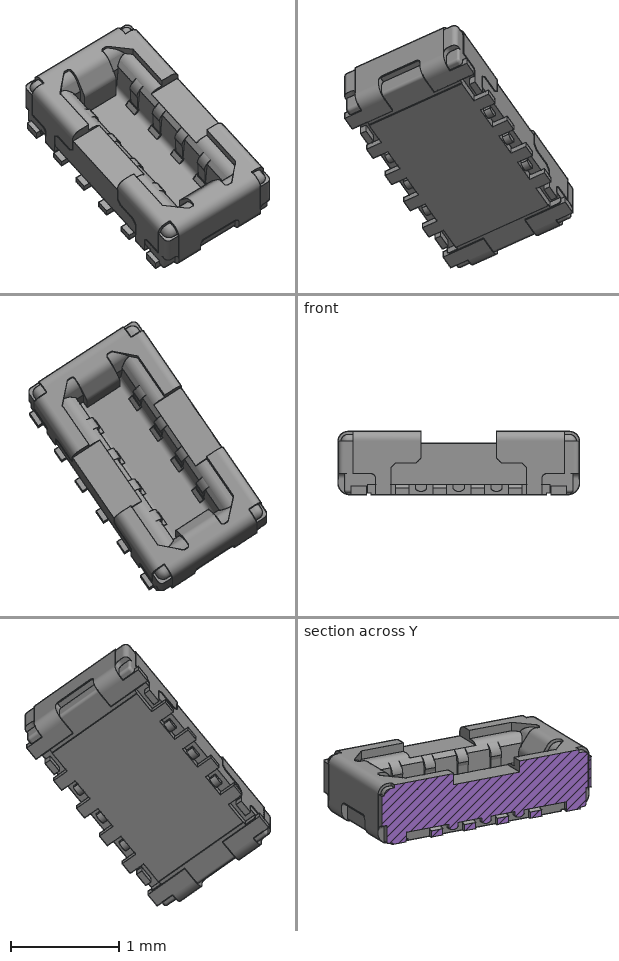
import cadquery as cq
import math

LENGTH = 2.24
HEIGHT = 0.59
SHELL_WIDTH = 1.219
FEET_SPAN = 1.3
OVERLAP = 0.022

SHELL_TOP_RADIUS = 0.09
END_TOP_RADIUS = 0.099
END_BOTTOM_RADIUS = 0.115
SHELL_THICKNESS = 0.06
LONG_WALL_LENGTH = 1.962
END_WALL_WIDTH = 0.94
SHELL_INNER_TOP = 0.506
CENTRE_GAP = 0.7
CENTRE_TOP = 0.48
RETURN_END = 0.853

LEG_INNER = 0.63
LEG_OUTER = 0.77
WALL_LOWER_EDGE = 0.295
CORNER_STEP = 0.197
LEG_CORNER = 0.045

NOTCH_WIDTH = 0.44
NOTCH_TOP = 0.208
NOTCH_RADIUS = 0.05

HOUSING_LENGTH = 2.227
HOUSING_WIDTH = 1.205
HOUSING_CORNER_RADIUS = 0.047
LOWER_LENGTH = LENGTH - 2 * SHELL_THICKNESS
LOWER_CORNER_RADIUS = 0.022
STANDOFF = 0.015
LOWER_EDGE_RADIUS = 0.03
POST_TOP = 0.497
POST_FILLET = 0.05
DOME_INSET = 0.03
DOME_RADIUS = 0.067
UNDERCUT_TOP = 0.095
UNDERCUT_HALF_LENGTH = 0.847
BASE_LENGTH = 1.626
BASE_WIDTH = 0.985
STUD_DISC_RADIUS = 0.063
STUD_HALF_WIDTH = 0.052
STUD_LENGTH = 0.067
STUD_FLAT = 0.03

FLOOR_Z = 0.128
FLOOR_HALF_WIDTH = 0.184
CAVITY_HALF_LENGTH = 0.802
LEAD_IN_END = 0.939
LEAD_IN_TOP = 0.562
FLOOR_FILLET_MIDDLE = (0.217, 0.14)
SIDE_WALL_FOOT = (0.237, 0.168)
SIDE_WALL_TOP = (0.255, 0.437)
SIDE_SLOPE_TOP = (0.3, CENTRE_TOP)
SIDE_ROLL_MIDDLE = (0.33, 0.497)
SIDE_ROLL_TOP = (0.37, SHELL_INNER_TOP)
END_WALL_TOP = (CAVITY_HALF_LENGTH, 0.415)
END_SLOPE_TOP = (0.86, 0.517)
END_ROLL_MIDDLE = (0.894, 0.549)
END_ROLL_TOP = (LEAD_IN_END, LEAD_IN_TOP)
OPENING_HALF_WIDTH = 0.42
OPENING_HALF_LENGTH = 0.97
OPENING_FLAT_HALF = 0.797
OPENING_END_HALF = 0.246
OPENING_CORNER_RADIUS = 0.022
TONGUE_WIDTH = 0.363
TONGUE_ROLL_TOP = (0.925, HEIGHT)
TONGUE_ROLL_MIDDLE = (0.875, 0.578)
TONGUE_SLOPE_TOP = (0.84, 0.547)
TONGUE_SLOPE_FOOT = (0.76, 0.437)
TONGUE_BEND_MIDDLE = (0.744, 0.41)
TONGUE_LEG_X = 0.737
TONGUE_LEG_TOP = 0.38

CONTACT_PITCH = 0.35
CONTACT_COUNT = 4
CONTACT_WIDTH = 0.11
CONTACT_ROOT = 0.293
CONTACT_TOP = 0.473
CONTACT_BULGE_MIDDLE = (0.245, 0.432)
CONTACT_BULGE_FOOT = (0.222, 0.37)
CONTACT_LEG_TOP = (0.23, 0.332)
TAIL_WIDTH = 0.14
TAIL_TOP_Y = 0.222
TAIL_TOP_Z = 0.168
FOOT_WIDTH = 0.123
FOOT_HEIGHT = 0.065
CORNER_FOOT_INNER = 0.853
CORNER_FOOT_OUTER = 0.997
CORNER_FOOT_HEIGHT = 0.083
FOOT_ROOT = 0.448

CONTACT_XS = [(i - (CONTACT_COUNT - 1) / 2) * CONTACT_PITCH for i in range(CONTACT_COUNT)]
STUD_XS = [(i - (CONTACT_COUNT - 2) / 2) * CONTACT_PITCH for i in range(CONTACT_COUNT - 1)]


def block(x0, x1, y0, y1, z0, z1):
    """Box given by its limits along each axis."""
    return cq.Workplane("XY").box(x1 - x0, y1 - y0, z1 - z0, centered=False).translate((x0, y0, z0))


def centred_block(length, width, z0, z1):
    return block(-length / 2, length / 2, -width / 2, width / 2, z0, z1)


def along_x(sketch, width, x=0.0):
    """Extrude a YZ outline to a given width, centred on x."""
    return sketch.extrude(width / 2, both=True).translate((x, 0, 0))


def both_sides(solid, plane):
    """The solid together with its mirror image."""
    return solid.union(solid.mirror(plane))


def make_end_walls():
    walls = centred_block(LENGTH, END_WALL_WIDTH, 0, HEIGHT)
    walls = walls.edges("|Y and >Z").fillet(END_TOP_RADIUS)
    walls = walls.edges("|Y and <Z").fillet(END_BOTTOM_RADIUS)
    under = centred_block(2 * RETURN_END, LENGTH, -OVERLAP, STANDOFF)
    notch = centred_block(LENGTH, NOTCH_WIDTH, -NOTCH_TOP, NOTCH_TOP)
    notch = notch.edges("|X and >Z").fillet(NOTCH_RADIUS)
    notch = notch.cut(centred_block(LOWER_LENGTH, LENGTH, CORNER_STEP, HEIGHT))
    return walls.cut(under).cut(notch)


def make_end_wall_fillets():
    """Concave fillets between the end walls and the underside of the corner posts."""
    edge = END_WALL_WIDTH / 2
    bend = POST_FILLET * (1 - math.sqrt(0.5))
    fillet = (
        cq.Workplane("YZ")
        .moveTo(edge, CORNER_STEP)
        .lineTo(edge + POST_FILLET, CORNER_STEP)
        .threePointArc((edge + bend, CORNER_STEP - bend), (edge, CORNER_STEP - POST_FILLET))
        .close()
        .extrude(HOUSING_LENGTH / 2, both=True)
    )
    return both_sides(fillet, "XZ")


def make_long_walls():
    walls = centred_block(LONG_WALL_LENGTH, SHELL_WIDTH, UNDERCUT_TOP, HEIGHT)
    walls = walls.edges("|X and >Z").fillet(SHELL_TOP_RADIUS)
    outline = [
        (CENTRE_GAP / 2, HEIGHT),
        (CENTRE_GAP / 2, WALL_LOWER_EDGE + LEG_CORNER),
        (CENTRE_GAP / 2 + LEG_CORNER, WALL_LOWER_EDGE),
        (LEG_INNER - LEG_CORNER, WALL_LOWER_EDGE),
        (LEG_INNER, WALL_LOWER_EDGE - LEG_CORNER),
        (LEG_INNER, 0),
        (LEG_OUTER, 0),
        (LEG_OUTER, CORNER_STEP - LEG_CORNER),
    ]
    bend = LEG_CORNER * (1 - math.sqrt(0.5))
    half = (
        cq.Workplane("XZ")
        .polyline(outline)
        .threePointArc((LEG_OUTER + bend, CORNER_STEP - bend), (LEG_OUTER + LEG_CORNER, CORNER_STEP))
        .lineTo(LONG_WALL_LENGTH / 2, CORNER_STEP)
        .lineTo(LONG_WALL_LENGTH / 2, HEIGHT)
        .close()
        .extrude(SHELL_WIDTH, both=True)
    )
    plates = both_sides(half, "YZ")
    core = centred_block(LENGTH, HOUSING_WIDTH, 0, HEIGHT)
    legs = block(LEG_INNER, LEG_OUTER, -SHELL_WIDTH / 2, SHELL_WIDTH / 2, 0, WALL_LOWER_EDGE)
    legs = legs.cut(centred_block(LENGTH, SHELL_WIDTH - 2 * SHELL_THICKNESS, -OVERLAP, UNDERCUT_TOP))
    skin = walls.union(both_sides(legs, "YZ")).intersect(plates)
    return skin.union(walls.intersect(core))


def make_housing():
    upper = centred_block(HOUSING_LENGTH, HOUSING_WIDTH, CORNER_STEP, POST_TOP)
    upper = upper.edges("|Z").fillet(HOUSING_CORNER_RADIUS)
    lower = centred_block(LOWER_LENGTH, HOUSING_WIDTH, STANDOFF, CORNER_STEP)
    lower = lower.edges("|Z").fillet(LOWER_CORNER_RADIUS)
    lower = lower.faces("<Z").edges().fillet(LOWER_EDGE_RADIUS)
    undercut = centred_block(2 * UNDERCUT_HALF_LENGTH, LENGTH, 0, UNDERCUT_TOP)
    undercut = undercut.cut(centred_block(LENGTH, BASE_WIDTH, 0, UNDERCUT_TOP))
    base = centred_block(BASE_LENGTH, BASE_WIDTH, 0, UNDERCUT_TOP)
    dome = centred_block(
        LENGTH - 2 * DOME_INSET, SHELL_WIDTH - 2 * DOME_INSET, CORNER_STEP, HEIGHT - DOME_INSET
    )
    dome = dome.edges("|Z or >Z").fillet(DOME_RADIUS)
    return upper.union(lower.cut(undercut)).union(base).union(dome)


def make_studs():
    """Half-round studs, flattened below, under the housing's long sides."""
    stud_span = BASE_WIDTH + 2 * STUD_LENGTH
    studs = cq.Workplane("XY")
    for x in STUD_XS:
        disc = cq.Workplane("XZ").circle(STUD_DISC_RADIUS).extrude(stud_span / 2, both=True)
        disc = disc.translate((x, 0, UNDERCUT_TOP))
        flats = block(x - STUD_HALF_WIDTH, x + STUD_HALF_WIDTH, -LENGTH, LENGTH, STUD_FLAT, UNDERCUT_TOP)
        studs = studs.union(disc.intersect(flats))
    return studs


def make_opening():
    """Octagonal column from the cavity floor up through the top plate of the shell."""
    quarter = [
        (OPENING_FLAT_HALF, OPENING_HALF_WIDTH),
        (OPENING_HALF_LENGTH, OPENING_END_HALF),
        (OPENING_HALF_LENGTH, TONGUE_WIDTH / 2),
        (LEAD_IN_END, TONGUE_WIDTH / 2),
        (LEAD_IN_END, 0),
        (0, 0),
        (0, OPENING_HALF_WIDTH),
    ]
    column = cq.Workplane("XY").workplane(offset=FLOOR_Z).polyline(quarter).close()
    column = column.extrude(HEIGHT + OVERLAP - FLOOR_Z)
    column = column.edges("|Z and >X").fillet(OPENING_CORNER_RADIUS)
    return both_sides(both_sides(column, "XZ"), "YZ")


def make_cavity():
    """Cavity below the opening: the long-side and end profiles meet in mitred corners."""
    top = HEIGHT + OVERLAP
    side = (
        cq.Workplane("YZ")
        .moveTo(0, FLOOR_Z)
        .lineTo(FLOOR_HALF_WIDTH, FLOOR_Z)
        .threePointArc(FLOOR_FILLET_MIDDLE, SIDE_WALL_FOOT)
        .lineTo(*SIDE_WALL_TOP)
        .lineTo(*SIDE_SLOPE_TOP)
        .threePointArc(SIDE_ROLL_MIDDLE, SIDE_ROLL_TOP)
        .lineTo(OPENING_HALF_WIDTH, SHELL_INNER_TOP)
        .lineTo(OPENING_HALF_WIDTH, top)
        .lineTo(0, top)
        .close()
    )
    side = both_sides(along_x(side, LENGTH), "XZ")
    end = (
        cq.Workplane("XZ")
        .moveTo(0, FLOOR_Z)
        .lineTo(CAVITY_HALF_LENGTH, FLOOR_Z)
        .lineTo(*END_WALL_TOP)
        .lineTo(*END_SLOPE_TOP)
        .threePointArc(END_ROLL_MIDDLE, END_ROLL_TOP)
        .lineTo(OPENING_HALF_LENGTH, LEAD_IN_TOP)
        .lineTo(OPENING_HALF_LENGTH, top)
        .lineTo(0, top)
        .close()
        .extrude(SHELL_WIDTH, both=True)
    )
    return make_opening().intersect(side).intersect(both_sides(end, "YZ"))


def make_tongues():
    """Spring tongues that fold from the top plate down into the cavity ends."""
    tongue = (
        cq.Workplane("XZ")
        .moveTo(OPENING_HALF_LENGTH, HEIGHT)
        .lineTo(*TONGUE_ROLL_TOP)
        .threePointArc(TONGUE_ROLL_MIDDLE, TONGUE_SLOPE_TOP)
        .lineTo(*TONGUE_SLOPE_FOOT)
        .threePointArc(TONGUE_BEND_MIDDLE, (TONGUE_LEG_X, TONGUE_LEG_TOP))
        .lineTo(TONGUE_LEG_X, FLOOR_Z)
        .lineTo(CAVITY_HALF_LENGTH, FLOOR_Z)
        .lineTo(*END_WALL_TOP)
        .lineTo(*END_SLOPE_TOP)
        .lineTo(OPENING_HALF_LENGTH, SHELL_INNER_TOP)
        .close()
        .extrude(TONGUE_WIDTH / 2, both=True)
    )
    return both_sides(tongue, "YZ")


def make_contact(x):
    """Contact spring bulging from the cavity wall."""
    spring = (
        cq.Workplane("YZ")
        .moveTo(CONTACT_ROOT, CONTACT_TOP)
        .threePointArc(CONTACT_BULGE_MIDDLE, CONTACT_BULGE_FOOT)
        .lineTo(*CONTACT_LEG_TOP)
        .lineTo(CONTACT_LEG_TOP[0], FLOOR_Z)
        .lineTo(CONTACT_ROOT, FLOOR_Z)
        .close()
    )
    return along_x(spring, CONTACT_WIDTH, x)


def make_contact_tail(x):
    """Sloped lower end of a contact, rising from the cavity floor to the wall."""
    tail = (
        cq.Workplane("YZ")
        .moveTo(FLOOR_HALF_WIDTH, FLOOR_Z)
        .lineTo(TAIL_TOP_Y, TAIL_TOP_Z)
        .lineTo(CONTACT_ROOT, TAIL_TOP_Z)
        .lineTo(CONTACT_ROOT, FLOOR_Z)
        .close()
    )
    return along_x(tail, TAIL_WIDTH, x)


def make_contact_foot(x):
    """Flat solder foot with a bend up into the housing."""
    bend = UNDERCUT_TOP - FOOT_HEIGHT
    root = BASE_WIDTH / 2
    arc_offset = bend * (1 - math.sqrt(0.5))
    foot = (
        cq.Workplane("YZ")
        .moveTo(FOOT_ROOT, 0)
        .lineTo(FEET_SPAN / 2, 0)
        .lineTo(FEET_SPAN / 2, FOOT_HEIGHT)
        .lineTo(root + bend, FOOT_HEIGHT)
        .threePointArc((root + arc_offset, FOOT_HEIGHT + arc_offset), (root, UNDERCUT_TOP))
        .lineTo(FOOT_ROOT, UNDERCUT_TOP)
        .close()
    )
    return along_x(foot, FOOT_WIDTH, x)


def make_corner_foot():
    return block(
        CORNER_FOOT_INNER, CORNER_FOOT_OUTER, FOOT_ROOT, FEET_SPAN / 2, 0, CORNER_FOOT_HEIGHT
    )


body = make_end_walls().union(make_long_walls()).union(make_housing()).union(make_studs())
body = body.union(make_end_wall_fillets()).cut(make_cavity())
body = body.cut(centred_block(CENTRE_GAP, LENGTH, CENTRE_TOP, HEIGHT + OVERLAP))
body = body.union(make_tongues())

for contact_x in CONTACT_XS:
    body = body.union(both_sides(make_contact_tail(contact_x), "XZ"))
    body = body.union(both_sides(make_contact(contact_x), "XZ"))
    body = body.union(both_sides(make_contact_foot(contact_x), "XZ"))

corner_feet = both_sides(both_sides(make_corner_foot(), "XZ"), "YZ")
result = body.union(corner_feet)